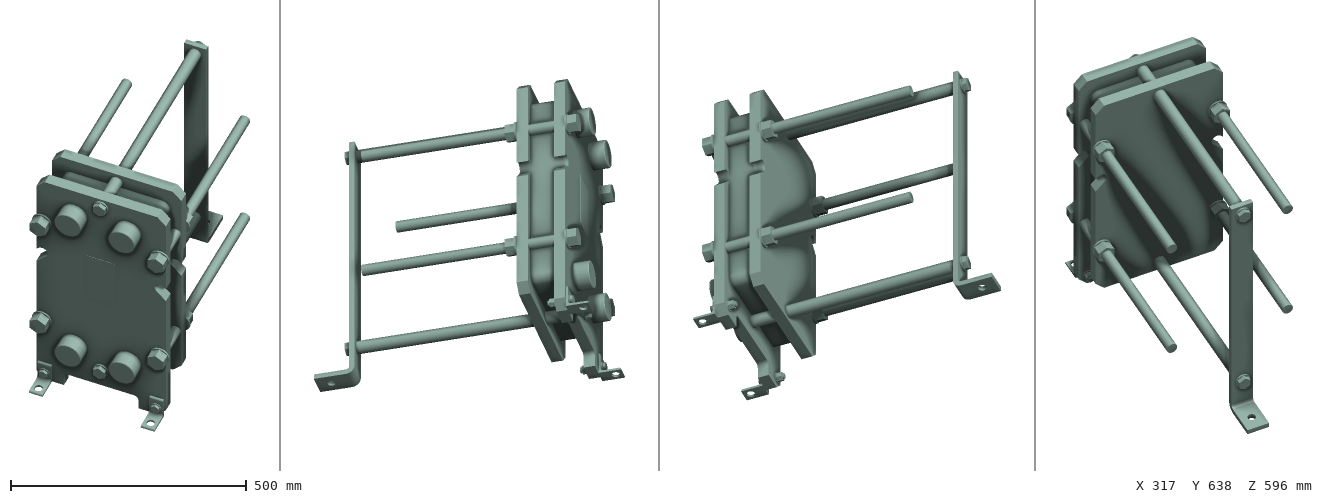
import cadquery as cq
import math


PLATE_WIDTH = 300.0
PLATE_THICKNESS = 25.0
PLATE_TOP = 596.0
PRESSURE_PLATE_BOTTOM = 58.0
CORNER_CHAMFER = 20.0
NOTCH_RADIUS = 13.0
NOTCH_HEIGHT = 381.5
NOTCH_LENGTH = 38.0
FOOT_GAP_WIDTH = 172.0
FOOT_GAP_HEIGHT = 35.0
FOOT_GAP_FILLET = 10.0

PACK_COUNT = 4
PACK_DEPTH = 57.5
PACK_WIDTH = 247.5
PACK_FILLET = 20.5

MIDDLE_HEIGHT = 327.0
TIE_X = 136.5
TIE_SPACING = 294.0
BAR_SPACING = 492.5
PORT_X = 62.5
PORT_SPACING = 394.0

TIE_DIAMETER = 24.0
TIE_END = 450.0
TIE_HEX_FLATS = 36.5
TIE_HEX_HEIGHT = 22.0
TIE_WASHER_DIAMETER = 44.0
WASHER_THICKNESS = 4.0

BAR_DIAMETER = 28.0
BAR_HEX_FLATS = 27.0
BAR_HEX_HEIGHT = 9.5
BAR_WASHER_DIAMETER = 34.0

PORT_DIAMETER = 60.5
PORT_LENGTH = 36.0
PORT_CHAMFER = 1.0
LABEL_WIDTH = 64.5
LABEL_HEIGHT = 124.0
LABEL_CENTRE_HEIGHT = 352.0
LABEL_THICKNESS = 0.5

COLUMN_WIDTH = 51.0
COLUMN_THICKNESS = 11.5
COLUMN_FRONT = 498.0
COLUMN_FOOT_END = 587.5
COLUMN_BEND_RADIUS = 19.0
COLUMN_HOLE_INSET = 32.5
FLOOR_HOLE_DIAMETER = 18.0

BRACKET_X = 129.5
BRACKET_WIDTH = 32.0
BRACKET_HEIGHT = 50.5
BRACKET_THICKNESS = 5.0
BRACKET_LENGTH = 50.5
BRACKET_ROOT_FILLET = 6.5
BRACKET_TOE_FILLET = 4.5
BRACKET_HOLE_INSET = 16.0
BRACKET_BOLT_HEIGHT = 25.0
BRACKET_BOLT_DIAMETER = 12.0
BRACKET_HEX_FLATS = 18.0
BRACKET_HEAD_HEIGHT = 6.5
BRACKET_NUT_HEIGHT = 12.0
BRACKET_WASHER_DIAMETER = 24.0
BRACKET_WASHER_THICKNESS = 2.0
BRACKET_STUB_LENGTH = 4.5

SIDES = (-1, 1)
PACK_START = PLATE_THICKNESS
PACK_PITCH = PACK_DEPTH / PACK_COUNT
PRESSURE_START = PACK_START + PACK_DEPTH
PRESSURE_END = PRESSURE_START + PLATE_THICKNESS
COLUMN_BACK = COLUMN_FRONT + COLUMN_THICKNESS
PACK_HEIGHT = BAR_SPACING - BAR_DIAMETER


def sketch_at(y):
    """XZ workplane at depth y, on which a negative extrusion runs towards +Y."""
    return cq.Workplane("XZ", origin=(0, y, 0))


def mirrored_points(x, spacing):
    """Four (X, Z) points either side of the middle height and of X = 0."""
    return [(side * x, MIDDLE_HEIGHT + level * spacing / 2) for side in SIDES for level in SIDES]


BAR_POINTS = [(0, MIDDLE_HEIGHT + level * BAR_SPACING / 2) for level in SIDES]
TIE_POINTS = mirrored_points(TIE_X, TIE_SPACING)
PORT_POINTS = mirrored_points(PORT_X, PORT_SPACING)


def cylinders(points, diameter, start, end):
    """Round bars along Y between two depths."""
    return sketch_at(start).pushPoints(points).circle(diameter / 2).extrude(start - end)


def hexes(points, flats, start, end):
    """Hexagonal prisms along Y with two flats facing +X and -X."""
    corner = flats / math.sqrt(3)
    corners = [(corner * math.sin(i * math.pi / 3), corner * math.cos(i * math.pi / 3)) for i in range(6)]
    prisms = cq.Workplane("XZ")
    for x, z in points:
        outline = [(x + dx, z + dz) for dx, dz in corners]
        prisms = prisms.union(sketch_at(start).polyline(outline).close().extrude(start - end))
    return prisms


def end_plate(start, bottom):
    """Thick plate with chamfered corners and a sloping hook notch in each side."""
    height = PLATE_TOP - bottom
    plate = (
        sketch_at(start)
        .center(0, bottom + height / 2)
        .rect(PLATE_WIDTH, height)
        .extrude(-PLATE_THICKNESS)
        .edges("|Y")
        .chamfer(CORNER_CHAMFER)
    )
    for side in SIDES:
        half_run = NOTCH_LENGTH / 2 / math.sqrt(2)
        notch = (
            sketch_at(start)
            .center(side * (TIE_X + half_run), NOTCH_HEIGHT - half_run)
            .slot2D(NOTCH_LENGTH + 2 * NOTCH_RADIUS, 2 * NOTCH_RADIUS, -45 * side)
            .extrude(-PLATE_THICKNESS)
        )
        plate = plate.cut(notch)
    return plate


def l_profile(width, thickness, wall_face, foot_end, height):
    """Sharp L section: a wall standing at Y = wall_face and a foot along the floor to Y = foot_end."""
    wall_inside = wall_face + math.copysign(thickness, foot_end - wall_face)
    outline = [
        (wall_face, 0),
        (foot_end, 0),
        (foot_end, thickness),
        (wall_inside, thickness),
        (wall_inside, height),
        (wall_face, height),
    ]
    return cq.Workplane("YZ").polyline(outline).close().extrude(width / 2, both=True)


def fillet_edge(body, y, z, radius):
    """Round the edge along X that passes through the point (y, z)."""
    edge = cq.selectors.NearestToPointSelector((0, y, z))
    return body.edges("|X").edges(edge).fillet(radius)


def floor_hole(y, thickness):
    """Cutter for a floor bolt hole in a foot."""
    return cq.Workplane("XY").center(0, y).circle(FLOOR_HOLE_DIAMETER / 2).extrude(thickness)


def support_column():
    """Rear strip bent at the floor into a foot that points backwards."""
    column = l_profile(COLUMN_WIDTH, COLUMN_THICKNESS, COLUMN_FRONT, COLUMN_FOOT_END, PLATE_TOP)
    column = fillet_edge(column, COLUMN_BACK, COLUMN_THICKNESS, COLUMN_BEND_RADIUS - COLUMN_THICKNESS)
    column = fillet_edge(column, COLUMN_FRONT, 0, COLUMN_BEND_RADIUS)
    return column.cut(floor_hole(COLUMN_FOOT_END - COLUMN_HOLE_INSET, COLUMN_THICKNESS))


def guide_bars():
    """Bars from the frame plate to the column, with a washer and bolt head at each end."""
    bars = cylinders(BAR_POINTS, BAR_DIAMETER, 0, COLUMN_BACK)
    for face, direction in ((0, -1), (COLUMN_BACK, 1)):
        washer_face = face + direction * WASHER_THICKNESS
        head_face = washer_face + direction * BAR_HEX_HEIGHT
        bars = bars.union(cylinders(BAR_POINTS, BAR_WASHER_DIAMETER, face, washer_face))
        bars = bars.union(hexes(BAR_POINTS, BAR_HEX_FLATS, washer_face, head_face))
    return bars


def tie_bolts():
    """Long bolts with a head at the frame plate and a nut behind the pressure plate."""
    bolts = cylinders(TIE_POINTS, TIE_DIAMETER, 0, TIE_END)
    for face, direction in ((0, -1), (PRESSURE_END, 1)):
        washer_face = face + direction * WASHER_THICKNESS
        hex_face = washer_face + direction * TIE_HEX_HEIGHT
        bolts = bolts.union(cylinders(TIE_POINTS, TIE_WASHER_DIAMETER, face, washer_face))
        bolts = bolts.union(hexes(TIE_POINTS, TIE_HEX_FLATS, washer_face, hex_face))
    return bolts


def floor_bracket():
    """Angle foot bolted through the frame plate, centred on X = 0."""
    bracket = l_profile(BRACKET_WIDTH, BRACKET_THICKNESS, 0, -BRACKET_LENGTH, BRACKET_HEIGHT)
    bracket = fillet_edge(bracket, -BRACKET_THICKNESS, BRACKET_THICKNESS, BRACKET_ROOT_FILLET)
    bracket = fillet_edge(bracket, -BRACKET_THICKNESS, BRACKET_HEIGHT, BRACKET_TOE_FILLET)
    bracket = fillet_edge(bracket, -BRACKET_LENGTH, BRACKET_THICKNESS, BRACKET_TOE_FILLET)
    bracket = bracket.cut(floor_hole(BRACKET_HOLE_INSET - BRACKET_LENGTH, BRACKET_THICKNESS))

    point = [(0, BRACKET_BOLT_HEIGHT)]
    for face, direction, hex_height in (
        (-BRACKET_THICKNESS, -1, BRACKET_HEAD_HEIGHT),
        (PLATE_THICKNESS, 1, BRACKET_NUT_HEIGHT),
    ):
        washer_face = face + direction * BRACKET_WASHER_THICKNESS
        hex_face = washer_face + direction * hex_height
        bracket = bracket.union(cylinders(point, BRACKET_WASHER_DIAMETER, face, washer_face))
        bracket = bracket.union(hexes(point, BRACKET_HEX_FLATS, washer_face, hex_face))
    bolt_end = PLATE_THICKNESS + BRACKET_WASHER_THICKNESS + BRACKET_NUT_HEIGHT + BRACKET_STUB_LENGTH
    return bracket.union(cylinders(point, BRACKET_BOLT_DIAMETER, 0, bolt_end))


def ports():
    """Closed pipe stubs with a chamfered outer rim."""
    stubs = cylinders(PORT_POINTS, PORT_DIAMETER, 0, -PORT_LENGTH)
    return stubs.faces("<Y").edges().chamfer(PORT_CHAMFER)


def frame():
    """Frame plate joined to its ports, name plate, feet, bars, tie bolts and column."""
    foot_gap = (
        sketch_at(0)
        .center(0, FOOT_GAP_HEIGHT / 2)
        .rect(FOOT_GAP_WIDTH, FOOT_GAP_HEIGHT)
        .extrude(-PLATE_THICKNESS)
        .edges("|Y and >Z")
        .fillet(FOOT_GAP_FILLET)
    )
    label = (
        sketch_at(0)
        .center(0, LABEL_CENTRE_HEIGHT)
        .rect(LABEL_WIDTH, LABEL_HEIGHT)
        .extrude(LABEL_THICKNESS)
    )
    body = end_plate(0, 0).cut(foot_gap)
    body = body.union(label)
    body = body.union(ports())
    for side in SIDES:
        body = body.union(floor_bracket().translate((side * BRACKET_X, 0, 0)))
    body = body.union(support_column())
    body = body.union(guide_bars())
    return body.union(tie_bolts())


def pressure_plate():
    """Rear clamping plate, bored for the guide bars and the tie bolts."""
    plate = end_plate(PRESSURE_START, PRESSURE_PLATE_BOTTOM)
    plate = plate.cut(cylinders(BAR_POINTS, BAR_DIAMETER, PRESSURE_START, PRESSURE_END))
    return plate.cut(cylinders(TIE_POINTS, TIE_DIAMETER, PRESSURE_START, PRESSURE_END))


def pack_plate(index):
    """Heat transfer plate that just fits between the two guide bars."""
    return (
        sketch_at(PACK_START + index * PACK_PITCH)
        .center(0, MIDDLE_HEIGHT)
        .rect(PACK_WIDTH, PACK_HEIGHT)
        .extrude(-PACK_PITCH)
        .edges("|Y")
        .fillet(PACK_FILLET)
    )


pack_plates = [pack_plate(index).val() for index in range(PACK_COUNT)]
result = cq.Compound.makeCompound([frame().val(), pressure_plate().val(), *pack_plates])